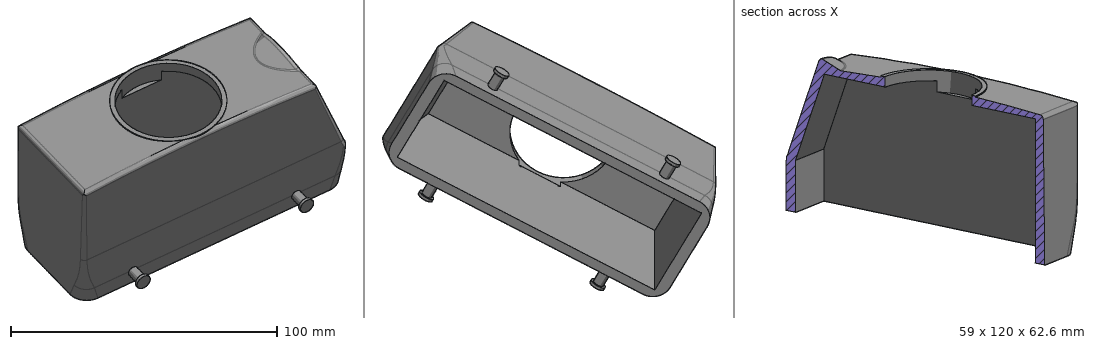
import cadquery as cq
import math

half_length = 60.0
half_width = 22.5
knee_half_width = 22.3
base_half_width = 21.7
front_lean_rate = 0.012

knee_height = 7.0
shoulder_height = 23.5
loft_top = 66.0
flare_steps = 10

slope_foot_height = 20.5
slope_rate = 0.37

base_corner = 7.5
knee_corner = 5.5
shoulder_corner = 1.8
top_corner = 0.8

crown_y = -6.0
crown_height = 60.7
roof_radius = 698.4
roof_fillet = 1.7
eaves_height = 56.4

cavity_half_width = 18.0
end_wall = 4.5
roof_thickness = 4.1

entry_diameter = 40.2
entry_depth = 8.5
collar_diameter = 44.0
collar_top = 60.8
collar_depth = 2.4

grip_radius = 20.4
grip_tilt = math.radians(20)
grip_rear_y = 43.8
grip_rear_height = 62.9
grip_floor = 55.2
grip_front_y = 24.0
grip_blend = 1.2

pin_tip = 29.5
pin_root = 19.8
pin_y = 37.0
pin_height = 6.2
pin_diameter = 4.2
pin_head_diameter = 6.0
pin_head_thickness = 1.2


def front_y(z):
    """Y of the slightly leaning front face at height z."""
    return front_lean_rate * z - half_length


def slope_y(z):
    """Y of the sloping rear face at height z."""
    return half_length - slope_rate * (z - slope_foot_height)


def section(z, half_x, corner):
    """Sketch of the rounded rectangular outline at height z."""
    rear_y = min(half_length, slope_y(z))
    outline = (
        cq.Sketch()
        .push([(0, (front_y(z) + rear_y) / 2)])
        .rect(2 * half_x, rear_y - front_y(z))
        .reset()
        .vertices()
        .fillet(corner)
    )
    return outline.moved(cq.Location(cq.Vector(0, 0, z)))


def flare_section(z):
    """Outline between knee and shoulder, growing tangent to the upright sides at the shoulder."""
    blend = ((shoulder_height - z) / (shoulder_height - knee_height)) ** 2
    half_x = half_width + (knee_half_width - half_width) * blend
    corner = shoulder_corner + (knee_corner - shoulder_corner) * blend
    return section(z, half_x, corner)


def make_hood():
    """Solid outer shape: skirt, curved flare and upper part under the arched roof."""
    base = section(0, base_half_width, base_corner)
    step = (shoulder_height - knee_height) / flare_steps
    flare_sections = [flare_section(knee_height + step * i) for i in range(flare_steps + 1)]
    top = section(loft_top, half_width, top_corner)

    skirt = cq.Workplane().placeSketch(base, flare_sections[0]).loft(ruled=True)
    flare = cq.Workplane().placeSketch(*flare_sections).loft()
    upper = cq.Workplane().placeSketch(flare_sections[-1], top).loft(ruled=True)
    return upper.intersect(make_roof_block()).union(flare).union(skirt)


def make_roof_block():
    """Straight-sided upper block with arched roof, thumb grip and rounded roof edges."""
    block = (
        cq.Workplane(origin=(0, 0, shoulder_height))
        .rect(2 * half_width, 2 * half_length)
        .extrude(loft_top - shoulder_height)
    )
    roof = (
        cq.Workplane("YZ")
        .center(crown_y, crown_height - roof_radius)
        .circle(roof_radius)
        .extrude(half_length, both=True)
    )
    block = block.intersect(roof).union(make_grip())

    block = block.edges("%BSPLINE").fillet(grip_blend)

    side_profile = (
        cq.Workplane("YZ")
        .polyline([
            (front_y(shoulder_height), shoulder_height),
            (slope_y(shoulder_height), shoulder_height),
            (slope_y(loft_top), loft_top),
            (front_y(loft_top), loft_top),
        ])
        .close()
        .extrude(half_width, both=True)
    )
    block = block.intersect(side_profile)

    eaves = cq.selectors.BoxSelector(
        (-half_length, -half_length, eaves_height), (half_length, half_length, loft_top)
    )
    rim = block.faces("<Y or >Y or <X or >X").edges(eaves)
    return rim.fillet(roof_fillet)


def make_grip():
    """Barrel descending towards the front, ending level with the rear of the hood."""
    axis = cq.Vector(0, math.cos(grip_tilt), math.sin(grip_tilt))
    axis_point = cq.Vector(0, grip_rear_y, grip_rear_height - grip_radius / math.cos(grip_tilt))
    barrel = cq.Solid.makeCylinder(
        grip_radius, 2 * half_length, axis_point - axis * half_length, axis
    )
    bound = (
        cq.Workplane(origin=(0, (grip_front_y + half_length) / 2, grip_floor))
        .rect(2 * half_width, half_length - grip_front_y)
        .extrude(half_length)
    )
    return bound.intersect(cq.Workplane(barrel))


def make_cavity():
    """Hollow that follows the end walls and the sloping rear face."""
    ceiling = crown_height - roof_thickness
    front = end_wall - half_length
    rear = half_length - end_wall
    return (
        cq.Workplane("YZ")
        .polyline([
            (front, 0),
            (rear, 0),
            (rear, slope_foot_height),
            (slope_y(ceiling) - end_wall, ceiling),
            (front, ceiling),
        ])
        .close()
        .extrude(cavity_half_width, both=True)
    )


def roof_disc(diameter, depth):
    """Upright cylinder at the cable entry, reaching down from the collar top."""
    return (
        cq.Workplane(origin=(0, crown_y, collar_top - depth))
        .circle(diameter / 2)
        .extrude(depth)
    )


def make_pin(side, y):
    """Headed pin pointing outwards on the given side (-1 or 1)."""
    length = pin_tip - pin_root
    root = cq.Plane(origin=(side * pin_root, y, pin_height), xDir=(0, 1, 0), normal=(side, 0, 0))
    shaft = cq.Workplane(root).circle(pin_diameter / 2).extrude(length)
    head = (
        cq.Workplane(root)
        .workplane(offset=length - pin_head_thickness)
        .circle(pin_head_diameter / 2)
        .extrude(pin_head_thickness)
    )
    return shaft.union(head)


hood = make_hood()
hood = hood.union(roof_disc(collar_diameter, collar_depth))
hood = hood.cut(make_cavity())
hood = hood.cut(roof_disc(entry_diameter, entry_depth))
for side in (-1, 1):
    for y in (-pin_y, pin_y):
        hood = hood.union(make_pin(side, y))

result = hood.solids()